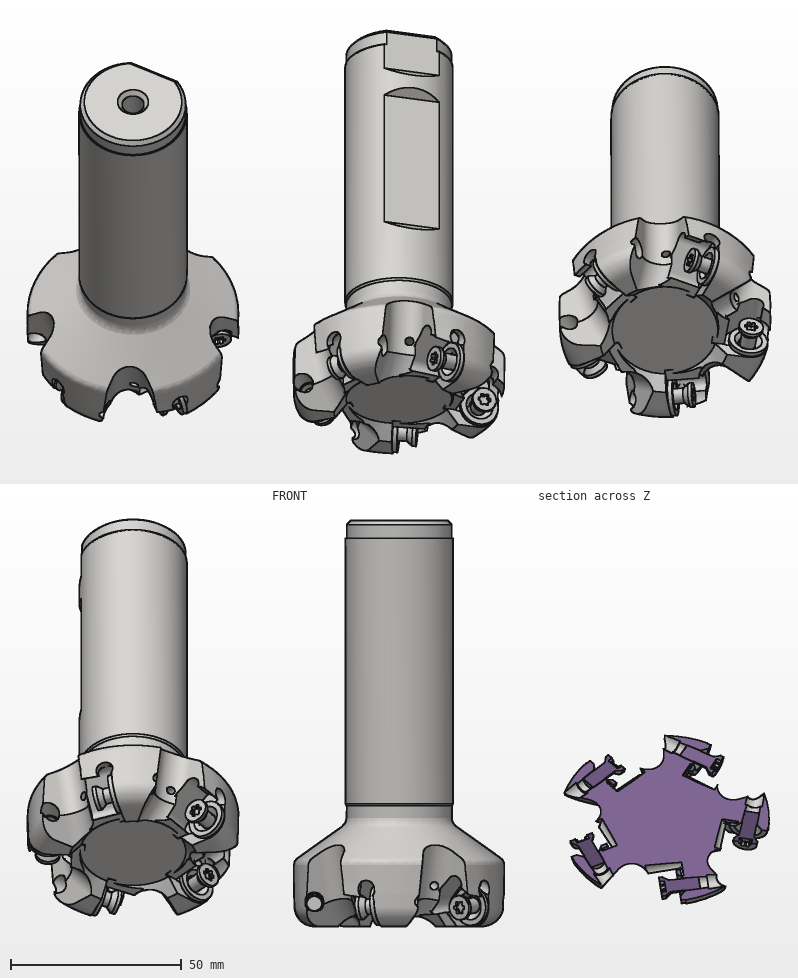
import cadquery as cq
import math

total_height = 118.9
shank_radius = 15.8
tail_radius = 15.5
tail_length = 5.2
tail_chamfer = 1.2
shank_bottom = 36.0
shank_bevel = 0.7
neck_radius = 15.5
neck_fillet = 3.1

flat_offset = 13.4
collar_top = 105.7
collar_bottom = 96.8
flat_bottom = 54.9

head_radius = 30.9
cone_angle = 35.4
cone_bottom = 19.3
rim_fillet = 2.5
taper_top = 9.6
seat_center_radius = 24.8
corner_radius = 6.0
core_bottom = 4.3
core_radius = 15.5
recess_mouth_radius = 19.0

bore_radius = 3.2
bore_mouth_radius = 4.5
bore_bottom = 19.0
coolant_radius = 1.2
coolant_drop = 7.7
coolant_reach = 23.8
coolant_direction = -26.0

tooth_count = 5
first_tooth_angle = 36.0

gullet_radius = 5.6
gullet_radial = 26.0
gullet_ahead = 14.3
gullet_reference_height = 22.0
gullet_inward_slope = 0.21
gullet_back_slope = 0.1
gullet_back_wall_angle = 53.0
gash_inward_slope = 0.9
gash_radial = 24.5
gash_ahead = 12.7
gash_reference_height = 7.6
slot_reach = 35.7

rake_angle = 5.5
pocket_radius = 6.7
pocket_floor = -2.3
pocket_top = 7.7
seat_radius = 5.7
seat_level = -1.0
countersink_radius = 4.0
back_bore_radius = 2.7
back_bore_level = -9.5
relief_radius = 2.5
relief_level = -0.4
relief_apex = (0.7, 7.1)
relief_rim_end = (7.1, 4.4)
inner_relief_length = 9.3
inner_relief_angle = 45.0
clearance_width = 10.7

selection_size = 0.2

screw_radius = 2.3
screw_head_radius = 3.6
screw_head_top = 4.4
screw_head_rim = 1.1
screw_head_bottom = 1.7
screw_end = -7.1
socket_radius = 1.4
socket_lobe_radius = 0.5
socket_lobes = 6
socket_depth = 1.4


def tooth_angles():
    return [first_tooth_angle + i * 360.0 / tooth_count for i in range(tooth_count)]


def at_tooth(shape, angle):
    """Turn a shape from the +X tooth position to the tooth at the given angle."""
    return shape.rotate((0, 0, 0), (0, 0, 1), angle)


def seat_plane():
    """Seat plane of the +X tooth: local x is radial, local y points up, normal points ahead (-Y)."""
    rake = math.radians(rake_angle)
    return cq.Plane(
        origin=(seat_center_radius, 0, corner_radius),
        xDir=(1, 0, 0),
        normal=(0, -math.cos(rake), -math.sin(rake)),
    )


def seat_cylinder(radius, bottom, top):
    return cq.Workplane(seat_plane()).workplane(offset=bottom).circle(radius).extrude(top - bottom)


def edges_at_height(height):
    """Selector for the circular edges whose centers lie at a height on the part axis."""
    half = selection_size / 2
    return cq.selectors.BoxSelector((-half, -half, height - half), (half, half, height + half))


def turned_blank():
    cone_rise = (head_radius - neck_radius) * math.tan(math.radians(cone_angle))
    neck_bottom = cone_bottom + cone_rise
    corner_mid = corner_radius * math.sqrt(0.5)
    blank = (
        cq.Workplane("XZ")
        .moveTo(0, 0)
        .lineTo(seat_center_radius, 0)
        .threePointArc(
            (seat_center_radius + corner_mid, corner_radius - corner_mid),
            (seat_center_radius + corner_radius, corner_radius),
        )
        .lineTo(head_radius, taper_top)
        .lineTo(head_radius, cone_bottom)
        .lineTo(neck_radius, neck_bottom)
        .lineTo(neck_radius, shank_bottom - shank_bevel)
        .lineTo(shank_radius, shank_bottom)
        .lineTo(shank_radius, total_height - tail_length)
        .lineTo(tail_radius, total_height - tail_length)
        .lineTo(tail_radius, total_height)
        .lineTo(0, total_height)
        .close()
        .revolve(360, (0, 0), (0, 1))
    )
    blank = blank.edges(edges_at_height(neck_bottom)).fillet(neck_fillet)
    return blank.edges(edges_at_height(cone_bottom)).fillet(rim_fillet)


def flat_cut(bottom, top, bottom_slope, top_slope):
    """A flat along the shank; each end runs out square for slope 0 or at 45 degrees for slope 1."""
    depth = 2 * (shank_radius - flat_offset)
    return (
        cq.Workplane("YZ")
        .polyline(
            [
                (flat_offset, bottom),
                (flat_offset, top),
                (flat_offset + depth, top + depth * top_slope),
                (flat_offset + depth, bottom - depth * bottom_slope),
            ]
        )
        .close()
        .extrude(shank_radius, both=True)
    )


def core_recess():
    return (
        cq.Workplane("XZ")
        .polyline([(0, 0), (0, core_bottom), (core_radius, core_bottom), (recess_mouth_radius, 0)])
        .close()
        .revolve(360, (0, 0), (0, 1))
    )


def coolant_bore():
    mouth_depth = bore_mouth_radius - bore_radius
    return (
        cq.Workplane("XZ")
        .polyline(
            [
                (0, bore_bottom - bore_radius),
                (bore_radius, bore_bottom),
                (bore_radius, total_height - mouth_depth),
                (bore_mouth_radius, total_height),
                (0, total_height),
            ]
        )
        .close()
        .revolve(360, (0, 0), (0, 1))
    )


def coolant_branch():
    """Sloping hole from the bottom of the coolant bore out into the gullet of the +X tooth."""
    direction = math.radians(coolant_direction)
    run = cq.Vector(coolant_reach * math.cos(direction), coolant_reach * math.sin(direction), -coolant_drop)
    return cq.Workplane(cq.Solid.makeCylinder(coolant_radius, run.Length, cq.Vector(0, 0, bore_bottom), run))


def leaning_slot(radial, ahead, height, inward_slope):
    """Round-bottomed slot open to the outside, leaning inward and toward the tooth as it goes down."""
    lean = cq.Vector(inward_slope, -gullet_back_slope, 1)
    across = lean.cross(cq.Vector(1, 0, 0))
    start = cq.Vector(radial, -ahead, height) - lean * slot_reach
    plane = cq.Plane(origin=start, xDir=across.cross(lean), normal=lean)
    back = math.radians(gullet_back_wall_angle)
    wall_touch = (-gullet_radius * math.sin(back), -gullet_radius * math.cos(back))
    arc_mid_angle = math.pi - back / 2
    arc_mid = (gullet_radius * math.cos(arc_mid_angle), gullet_radius * math.sin(arc_mid_angle))
    return (
        cq.Workplane(plane)
        .moveTo(slot_reach, gullet_radius)
        .lineTo(0, gullet_radius)
        .threePointArc(arc_mid, wall_touch)
        .line(slot_reach * math.cos(back), -slot_reach * math.sin(back))
        .close()
        .extrude(2 * slot_reach * lean.Length)
    )


def gullet():
    """Main chip slot joined by a steeper gash that opens it toward the core below."""
    main_slot = leaning_slot(gullet_radial, gullet_ahead, gullet_reference_height, gullet_inward_slope)
    gash = leaning_slot(gash_radial, gash_ahead, gash_reference_height, gash_inward_slope)
    return main_slot.union(gash)


def rim_relief():
    """Round-nosed channel from the top of the insert pocket out through the rim."""
    plane = seat_plane()
    first = plane.toWorldCoords((*relief_apex, relief_level))
    run = plane.toWorldCoords((*relief_rim_end, relief_level)) - first
    channel = cq.Workplane(cq.Solid.makeCylinder(relief_radius, run.Length, first, run))
    nose = cq.Workplane("XY", origin=first.toTuple()).sphere(relief_radius)
    return channel.union(nose)


def inner_relief():
    """Round-ended slot along the inner upper side of the insert pocket, open to the gullet."""
    angle = math.radians(inner_relief_angle)
    half_length = inner_relief_length / 2
    middle_radial = relief_apex[0] - half_length * math.cos(angle)
    middle_up = relief_apex[1] - half_length * math.sin(angle)
    return (
        cq.Workplane(seat_plane())
        .workplane(offset=relief_level - relief_radius)
        .center(middle_radial, middle_up)
        .slot2D(inner_relief_length + 2 * relief_radius, 2 * relief_radius, inner_relief_angle)
        .extrude(pocket_top + relief_radius - relief_level)
    )


def lower_clearance():
    """Opening below the insert pocket, toward the core."""
    top = core_bottom - corner_radius
    return (
        cq.Workplane(seat_plane())
        .workplane(offset=pocket_floor)
        .center(-clearance_width / 2, top - corner_radius)
        .rect(clearance_width, 2 * corner_radius)
        .extrude(gullet_ahead - pocket_floor)
    )


def insert_pocket():
    pocket = seat_cylinder(pocket_radius, pocket_floor, pocket_top)
    pocket = pocket.union(lower_clearance()).union(inner_relief()).union(rim_relief())
    return pocket.cut(seat_cylinder(seat_radius, pocket_floor, seat_level))


def screw_hole():
    countersink = (
        cq.Workplane(seat_plane())
        .workplane(offset=seat_level)
        .circle(countersink_radius)
        .workplane(offset=screw_radius - countersink_radius)
        .circle(screw_radius)
        .loft(ruled=True)
    )
    back_bore = seat_cylinder(back_bore_radius, -slot_reach, back_bore_level)
    return seat_cylinder(screw_radius, -slot_reach, seat_level).union(countersink).union(back_bore)


def make_cutter_body():
    body = turned_blank()
    body = body.cut(flat_cut(collar_top, total_height, 1, 0))
    body = body.cut(flat_cut(flat_bottom, collar_bottom, 1, 1))
    body = body.faces(">Z").edges().chamfer(tail_chamfer)
    body = body.cut(coolant_bore())
    body = body.cut(core_recess())
    for angle in tooth_angles():
        for feature in (gullet(), insert_pocket(), screw_hole(), coolant_branch()):
            body = body.cut(at_tooth(feature, angle))
    return body


def make_screw():
    """Countersunk clamp screw with a six-lobed socket, for the +X tooth."""
    cone_top = screw_head_top - screw_head_rim
    shank = seat_cylinder(screw_radius, screw_end, cone_top)
    rim = seat_cylinder(screw_head_radius, cone_top, screw_head_top)
    cone = (
        cq.Workplane(seat_plane())
        .workplane(offset=screw_head_bottom)
        .circle(screw_radius)
        .workplane(offset=cone_top - screw_head_bottom)
        .circle(screw_head_radius)
        .loft(ruled=True)
    )
    socket_floor = screw_head_top - socket_depth
    lobes = (
        cq.Workplane(seat_plane())
        .workplane(offset=socket_floor)
        .polarArray(socket_radius, 0, 360, socket_lobes)
        .circle(socket_lobe_radius)
        .extrude(socket_depth)
    )
    socket = seat_cylinder(socket_radius, socket_floor, screw_head_top).union(lobes)
    return shank.union(cone).union(rim).cut(socket)


cutter_body = make_cutter_body()
screws = [at_tooth(make_screw(), angle).val() for angle in tooth_angles()]
result = cq.Compound.makeCompound([cutter_body.solids().val(), *screws])